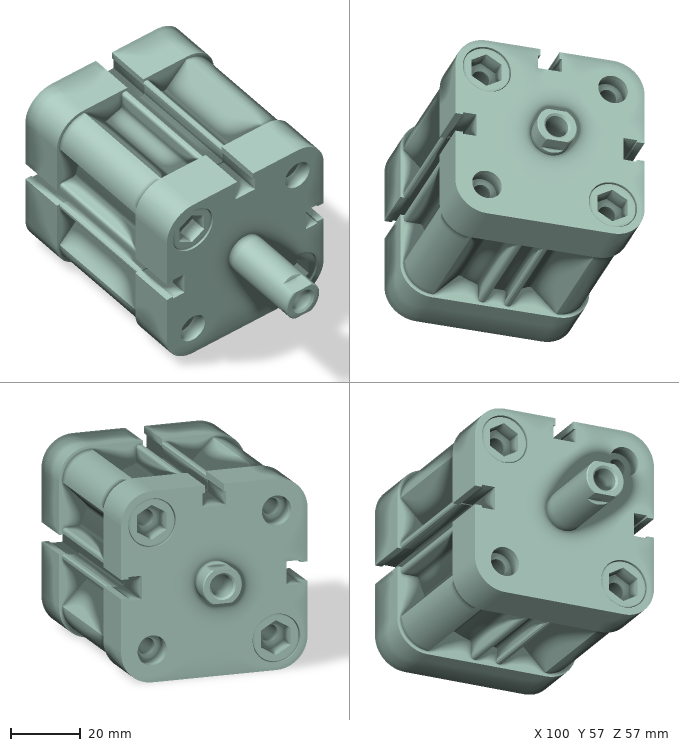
import cadquery as cq
import math


cap_side = 57.0
cap_length = 14.7
barrel_length = 36.5
rod_length = 100.0
rod_stub = 7.0

screw_spacing = 38.0
screw_bore = 5.1
screw_head_diameter = 14.0
head_recess_diameter = 14.6
head_gap_depth = 1.0
head_set_back = 0.5
hex_width = 9.0
hex_depth = 5.5
counterbore_diameter = 8.9
counterbore_depth = 5.0

slot_mouth = 5.8
cap_slot_width = 7.1
cap_slot_depth = 6.4
cap_lip = 2.2
barrel_slot_width = 6.5
barrel_slot_floor = 22.4
barrel_lip_bottom = 26.0
slot_chamfer = 0.4

lobe_inset = 1.0
lobe_radius = 9.0
tube_radius = 22.4
valley_fillet = 1.0
rib_width = 10.0
rib_fillet = 1.0
rib_root_fillet = 1.1

rod_diameter = 12.0
rod_chamfer = 0.3
flats_width = 10.0
flats_length = 5.0
flats_run_out = 0.4
thread_core = 6.8
thread_countersink = 8.0
thread_depth = 16.0
drill_tip_angle = 118.0

half_cap = cap_side / 2
screw_offset = screw_spacing / 2
corner_radius = half_cap - screw_offset
half_barrel = barrel_length / 2
cap_outer_x = -half_barrel - cap_length
barrel_side = cap_side - 2 * lobe_inset
rib_top = barrel_side / 2
rod_start = cap_outer_x - rod_stub
rod_end = rod_start + rod_length
side_angles = (0, 90, 180, 270)
cap_slot_angles = (0, 90, 270)


def across(x):
    """Work plane across the cylinder at x, seen from +X: local x is Y, local y is Z."""
    return cq.Workplane("YZ", origin=(x, 0, 0))


def on_side(body, angle):
    """Turn a shape made for the +Z side onto another side of the cylinder."""
    return body.rotate((0, 0, 0), (1, 0, 0), angle)


def make_cap_slot():
    """T-slot in the +Z side of the cap: a narrow mouth over a wider undercut."""
    mouth = across(cap_outer_x).center(0, half_cap).rect(slot_mouth, 2 * cap_slot_depth).extrude(cap_length)
    undercut_height = cap_slot_depth - cap_lip
    undercut_middle = half_cap - cap_slot_depth + undercut_height / 2
    undercut = (
        across(cap_outer_x)
        .center(0, undercut_middle)
        .rect(cap_slot_width, undercut_height)
        .extrude(cap_length)
    )
    return mouth.union(undercut)


def cut_screw_heads(cap):
    """Form set-back screw heads on one diagonal, each with a gap around it and a hex socket."""
    places = [(screw_offset, screw_offset), (-screw_offset, -screw_offset)]
    head_face_x = cap_outer_x + head_set_back
    recess_radius = head_recess_diameter / 2
    recesses = across(cap_outer_x).pushPoints(places).circle(recess_radius).extrude(head_set_back)
    gaps = (
        across(head_face_x)
        .pushPoints(places)
        .circle(recess_radius)
        .circle(screw_head_diameter / 2)
        .extrude(head_gap_depth)
    )
    hex_radius = hex_width / math.sqrt(3)
    hexagon = cq.Sketch().regularPolygon(hex_radius, 6)
    sockets = across(head_face_x).pushPoints(places).placeSketch(hexagon).extrude(hex_depth)
    return cap.cut(recesses).cut(gaps).cut(sockets)


def cut_counterbores(cap):
    """Widen the outer ends of the through bores on the other diagonal."""
    places = [(-screw_offset, screw_offset), (screw_offset, -screw_offset)]
    radius = counterbore_diameter / 2
    return cap.cut(across(cap_outer_x).pushPoints(places).circle(radius).extrude(counterbore_depth))


def cut_lengthwise_bores(body, start_x, length):
    """Cut the four corner bores and the rod hole right through a body."""
    corner_bores = (
        across(start_x)
        .rect(screw_spacing, screw_spacing, forConstruction=True)
        .vertices()
        .circle(screw_bore / 2)
        .extrude(length)
    )
    rod_hole = across(start_x).circle(rod_diameter / 2).extrude(length)
    return body.cut(corner_bores).cut(rod_hole)


def make_cap():
    """Rounded square end cap at -X, slotted on every side but the bottom."""
    cap = across(cap_outer_x).rect(cap_side, cap_side).extrude(cap_length)
    cap = cap.edges("|X").fillet(corner_radius)
    slot = make_cap_slot()
    for angle in cap_slot_angles:
        cap = cap.cut(on_side(slot, angle))
    cap = cut_screw_heads(cap)
    cap = cut_counterbores(cap)
    return cut_lengthwise_bores(cap, cap_outer_x, cap_length)


def make_valley_cutter():
    """Recess between two corner lobes on the +Z side, down to the round tube and its rib."""
    flank_shift = lobe_radius
    valley_y = (math.sqrt(2 * tube_radius**2 - flank_shift**2) - flank_shift) / 2
    valley_z = valley_y + flank_shift
    wedge_top = half_cap
    wedge_half_width = wedge_top - flank_shift
    wedge = (
        across(-half_barrel)
        .moveTo(-valley_y, valley_z)
        .threePointArc((0, tube_radius), (valley_y, valley_z))
        .lineTo(wedge_half_width, wedge_top)
        .lineTo(-wedge_half_width, wedge_top)
        .close()
        .extrude(barrel_length)
    )
    wedge = wedge.edges("|X").edges("<Z").fillet(valley_fillet)

    rib = across(-half_barrel).rect(rib_width, 2 * rib_top).extrude(barrel_length)
    rib = rib.edges("|X").fillet(rib_fillet)
    cutter = wedge.cut(rib)
    half_rib = rib_width / 2
    rib_root = math.sqrt(tube_radius**2 - half_rib**2)
    for side in (-1, 1):
        root_point = (0, side * half_rib, rib_root)
        cutter = cutter.edges(cq.NearestToPointSelector(root_point)).fillet(rib_root_fillet)
    return cutter


def make_barrel_slot():
    """T-slot in the rib on the +Z side, with chamfers at its mouth and floor."""
    half_mouth = slot_mouth / 2
    half_width = barrel_slot_width / 2
    half_chamfer = half_mouth + slot_chamfer
    right_side = [
        (half_width - slot_chamfer, barrel_slot_floor),
        (half_width, barrel_slot_floor + slot_chamfer),
        (half_width, barrel_lip_bottom),
        (half_mouth, barrel_lip_bottom),
        (half_mouth, rib_top - slot_chamfer),
        (half_chamfer, rib_top),
    ]
    left_side = [(-y, z) for y, z in reversed(right_side)]
    return across(-half_barrel).polyline(right_side + left_side).close().extrude(barrel_length)


def make_barrel():
    """Extruded barrel: four corner lobes around a tube, with a slotted rib on each side."""
    barrel = across(-half_barrel).rect(barrel_side, barrel_side).extrude(barrel_length)
    barrel = barrel.edges("|X").fillet(lobe_radius)
    valley = make_valley_cutter()
    slot = make_barrel_slot()
    for angle in side_angles:
        barrel = barrel.cut(on_side(valley, angle)).cut(on_side(slot, angle))
    return cut_lengthwise_bores(barrel, -half_barrel, barrel_length)


def make_rod_end_cutter():
    """Wrench flats and centre thread hole of a rod end that starts at x = 0 and runs toward +X."""
    rod_radius = rod_diameter / 2
    half_flats = flats_width / 2
    upper_flat = (
        cq.Workplane("XZ")
        .moveTo(0, half_flats)
        .lineTo(flats_length, half_flats)
        .lineTo(flats_length + flats_run_out, rod_radius)
        .lineTo(0, rod_radius)
        .close()
        .extrude(rod_radius, both=True)
    )
    core_radius = thread_core / 2
    mouth_radius = thread_countersink / 2
    tip_length = core_radius / math.tan(math.radians(drill_tip_angle / 2))
    thread_hole = (
        cq.Workplane("XZ")
        .polyline([
            (0, 0),
            (0, mouth_radius),
            (mouth_radius - core_radius, core_radius),
            (thread_depth, core_radius),
            (thread_depth + tip_length, 0),
        ])
        .close()
        .revolve(360, (0, 0, 0), (1, 0, 0))
    )
    return upper_flat.union(on_side(upper_flat, 180)).union(thread_hole)


def make_rod():
    """Through rod with the same flats and thread hole at both ends."""
    rod = across(rod_start).circle(rod_diameter / 2).extrude(rod_length)
    rod = rod.faces("<X or >X").chamfer(rod_chamfer)
    end_cutter = make_rod_end_cutter()
    rod = rod.cut(end_cutter.translate((rod_start, 0, 0)))
    far_cutter = end_cutter.rotate((0, 0, 0), (0, 0, 1), 180)
    return rod.cut(far_cutter.translate((rod_end, 0, 0)))


barrel = make_barrel()
rod = make_rod()

caps = []
for turn in (0, 180):
    caps.append(make_cap().rotate((0, 0, 0), (0, 0, 1), turn))

result = cq.Compound.makeCompound([barrel.val(), rod.val(), *[cap.val() for cap in caps]])